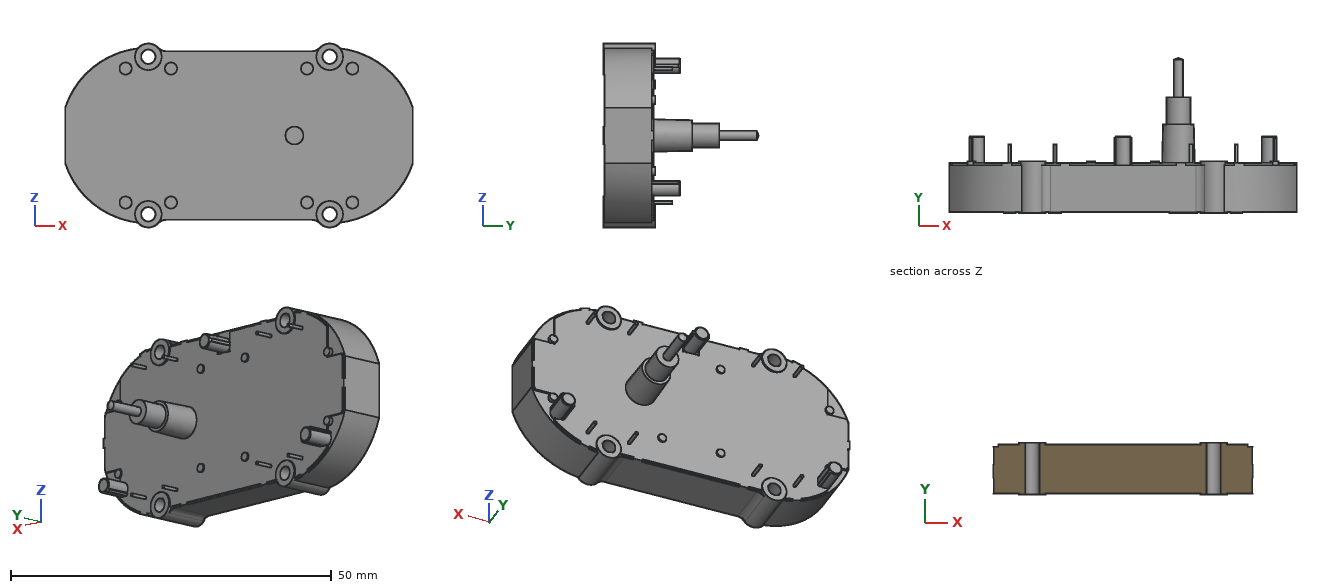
import cadquery as cq
import math

LENGTH = 54.31
DEPTH = 24.23
HEIGHT = 28.75

FRONT_PAD = 0.15
RIM_LEVEL = 7.36
COVER_LEVEL = 7.71
REAR_PAD_LEVEL = 7.96
PIN_LEVEL = 10.6
PEG_LEVEL = 11.88
HUB_LEVEL = 13.71
SLEEVE_LEVEL = 17.95
SHAFT_LEVEL = 23.8
TIP_LEVEL = DEPTH - FRONT_PAD

HALF_LENGTH = LENGTH / 2
HALF_HEIGHT = 13.18
END_RADIUS = 13.7
RIM_WIDTH = 0.3

EAR_X = 14.16
EAR_RADIUS = 2.08
EAR_Z = HEIGHT / 2 - EAR_RADIUS
EAR_HOLE = 2.2
EAR_FILLET = 1.8

PIN_PITCH = 3.54
PIN_Z = 10.46
PIN_DIAMETER = 0.5
PAD_DIAMETER = 1.9

TAB_WIDTH = 1.5
TAB_DEPTH = 1.2
TAB_XS = (9.05, 18.15)

CORNER_X = 23.35
CORNER_Z = 4.8

PEG_DIAMETER = 2.35
PEG_CHAMFER = 0.15
RIB_SPAN = 2.8
RIB_WIDTH = 0.5
RIB_CHAMFER = 0.35
UPPER_PEG_Z = 10.88
LOWER_PEG_X = 22.82
LOWER_PEG_Z = -8.25
LOWER_RIB_ANGLE = 45

RIVET_DIAMETER = 1.35
INNER_RIVET = (5.0, 7.97)
OUTER_RIVET = (23.63, 5.55)

SHAFT_X = 8.65
HUB_BASE_RADIUS = 2.57
HUB_END_RADIUS = 2.42
SLEEVE_RADIUS = 1.9
SHAFT_RADIUS = 0.75
SHAFT_PAD_DIAMETER = 2.8


def plane_at(y):
    """XZ sketch plane at depth y; local axes are +X and +Z, extruding toward -Y."""
    return cq.Workplane("XZ", origin=(0, y, 0))


def cylinders(points, diameter, y_start, y_end):
    return plane_at(y_end).pushPoints(points).circle(diameter / 2).extrude(y_end - y_start)


def box(x_min, x_max, z_min, z_max, y_start, y_end):
    return (
        plane_at(y_end)
        .center((x_min + x_max) / 2, (z_min + z_max) / 2)
        .rect(x_max - x_min, z_max - z_min)
        .extrude(y_end - y_start)
    )


def mirrored(x, z):
    """The four points mirrored about both centre planes."""
    return [(sx * x, sz * z) for sx in (-1, 1) for sz in (-1, 1)]


def racetrack(inset, y_start, y_end):
    """Housing outline, with cut-off round ends that step out at the ears, set back by inset."""
    radius = END_RADIUS - inset
    half_length = HALF_LENGTH - inset
    half_height = HALF_HEIGHT - inset
    end_z = math.sqrt(radius**2 - (half_length - EAR_X) ** 2)
    mid = radius / math.sqrt(2)
    return (
        plane_at(y_end)
        .moveTo(-EAR_X, half_height)
        .lineTo(EAR_X, half_height)
        .lineTo(EAR_X, radius)
        .threePointArc((EAR_X + mid, mid), (half_length, end_z))
        .lineTo(half_length, -end_z)
        .threePointArc((EAR_X + mid, -mid), (EAR_X, -radius))
        .lineTo(EAR_X, -half_height)
        .lineTo(-EAR_X, -half_height)
        .lineTo(-EAR_X, -radius)
        .threePointArc((-EAR_X - mid, -mid), (-half_length, -end_z))
        .lineTo(-half_length, end_z)
        .threePointArc((-EAR_X - mid, mid), (-EAR_X, radius))
        .close()
        .extrude(y_end - y_start)
    )


def ear_blend(side_x, side_z):
    """Concave web filling the corner between an ear and the flat long side."""
    reach = EAR_RADIUS + EAR_FILLET
    fillet_z = HALF_HEIGHT + EAR_FILLET
    run = math.sqrt(reach**2 - (fillet_z - EAR_Z) ** 2)
    fillet_x = EAR_X - run
    tangent_x = EAR_X - run * EAR_RADIUS / reach
    tangent_z = EAR_Z + (fillet_z - EAR_Z) * EAR_RADIUS / reach
    middle_angle = (math.atan2(tangent_z - fillet_z, tangent_x - fillet_x) - math.pi / 2) / 2
    middle_x = fillet_x + EAR_FILLET * math.cos(middle_angle)
    middle_z = fillet_z + EAR_FILLET * math.sin(middle_angle)
    return (
        plane_at(RIM_LEVEL)
        .moveTo(side_x * fillet_x, side_z * HALF_HEIGHT)
        .threePointArc((side_x * middle_x, side_z * middle_z), (side_x * tangent_x, side_z * tangent_z))
        .lineTo(side_x * EAR_X, side_z * EAR_Z)
        .lineTo(side_x * fillet_x, side_z * EAR_Z)
        .close()
        .extrude(RIM_LEVEL)
    )


def make_housing():
    housing = racetrack(0, 0, RIM_LEVEL)
    for side_x in (-1, 1):
        for side_z in (-1, 1):
            housing = housing.union(ear_blend(side_x, side_z))
    return housing


def make_raised_plate():
    """Raised rear plate, cleared around the outer rivets and upper peg."""
    plate = racetrack(RIM_WIDTH, 0, COVER_LEVEL)
    for side_x in (-1, 1):
        for side_z in (-1, 1):
            xs = sorted((side_x * CORNER_X, side_x * HALF_LENGTH))
            zs = sorted((side_z * CORNER_Z, side_z * END_RADIUS))
            plate = plate.cut(box(*xs, *zs, RIM_LEVEL, COVER_LEVEL))
    peg_slot = box(
        -RIB_SPAN / 2, RIB_SPAN / 2, UPPER_PEG_Z - PEG_DIAMETER / 2, HALF_HEIGHT, RIM_LEVEL, COVER_LEVEL
    )
    return plate.cut(peg_slot)


def make_tabs():
    """Rim tabs flush with the housing wall on all four sides."""
    half = TAB_WIDTH / 2
    inner_z = HALF_HEIGHT - TAB_DEPTH
    tabs = box(-HALF_LENGTH, TAB_DEPTH - HALF_LENGTH, -half, half, 0, COVER_LEVEL)
    tabs = tabs.union(box(HALF_LENGTH - TAB_DEPTH, HALF_LENGTH, -half, half, 0, COVER_LEVEL))
    for tab_x in TAB_XS:
        for x in (-tab_x, tab_x):
            tabs = tabs.union(box(x - half, x + half, inner_z, END_RADIUS, 0, COVER_LEVEL))
            tabs = tabs.union(box(x - half, x + half, -END_RADIUS, -inner_z, 0, COVER_LEVEL))
    return tabs.intersect(racetrack(0, 0, COVER_LEVEL))


def make_peg(x, z, rib_angle):
    """Chamfered peg with two opposite ribs, the rib line turned by rib_angle from X."""
    height = PEG_LEVEL - RIM_LEVEL
    half_span = RIB_SPAN / 2
    peg = cq.Workplane("XY").circle(PEG_DIAMETER / 2).extrude(height).faces(">Z").chamfer(PEG_CHAMFER)
    ribs = (
        cq.Workplane("XZ")
        .moveTo(-half_span, 0)
        .lineTo(half_span, 0)
        .lineTo(half_span, height - RIB_CHAMFER)
        .lineTo(half_span - RIB_CHAMFER, height)
        .lineTo(RIB_CHAMFER - half_span, height)
        .lineTo(-half_span, height - RIB_CHAMFER)
        .close()
        .extrude(RIB_WIDTH / 2, both=True)
    )
    return (
        peg.union(ribs)
        .rotate((0, 0, 0), (0, 0, 1), rib_angle)
        .rotate((0, 0, 0), (1, 0, 0), -90)
        .translate((x, RIM_LEVEL, z))
    )


def make_pegs():
    pegs = make_peg(0, UPPER_PEG_Z, 0)
    for side in (-1, 1):
        pegs = pegs.union(make_peg(side * LOWER_PEG_X, LOWER_PEG_Z, -side * LOWER_RIB_ANGLE))
    return pegs


def make_shafts():
    """Tapered hub, outer shaft and pointed inner shaft, turned about one axis."""
    return (
        cq.Workplane("XY")
        .moveTo(0, RIM_LEVEL)
        .lineTo(HUB_BASE_RADIUS, RIM_LEVEL)
        .lineTo(HUB_END_RADIUS, HUB_LEVEL)
        .lineTo(SLEEVE_RADIUS, HUB_LEVEL)
        .lineTo(SLEEVE_RADIUS, SLEEVE_LEVEL)
        .lineTo(SHAFT_RADIUS, SLEEVE_LEVEL)
        .lineTo(SHAFT_RADIUS, SHAFT_LEVEL)
        .lineTo(0, TIP_LEVEL)
        .close()
        .revolve(360, (0, 0, 0), (0, 1, 0))
        .translate((SHAFT_X, 0, 0))
    )


ear_points = mirrored(EAR_X, EAR_Z)
pin_points = mirrored(EAR_X - PIN_PITCH, PIN_Z) + mirrored(EAR_X + PIN_PITCH, PIN_Z)
rivet_points = mirrored(*INNER_RIVET) + mirrored(*OUTER_RIVET)

result = make_housing().union(make_raised_plate()).union(make_tabs())
result = result.union(cylinders(ear_points, 2 * EAR_RADIUS, -FRONT_PAD, REAR_PAD_LEVEL))
result = result.union(cylinders(pin_points, PAD_DIAMETER, -FRONT_PAD, RIM_LEVEL))
result = result.union(cylinders([(SHAFT_X, 0)], SHAFT_PAD_DIAMETER, -FRONT_PAD, RIM_LEVEL))
result = result.union(cylinders(pin_points, PIN_DIAMETER, RIM_LEVEL, PIN_LEVEL))
result = result.union(cylinders(rivet_points, RIVET_DIAMETER, RIM_LEVEL, REAR_PAD_LEVEL))
result = result.union(make_pegs()).union(make_shafts())
result = result.cut(cylinders(ear_points, EAR_HOLE, -FRONT_PAD, REAR_PAD_LEVEL))